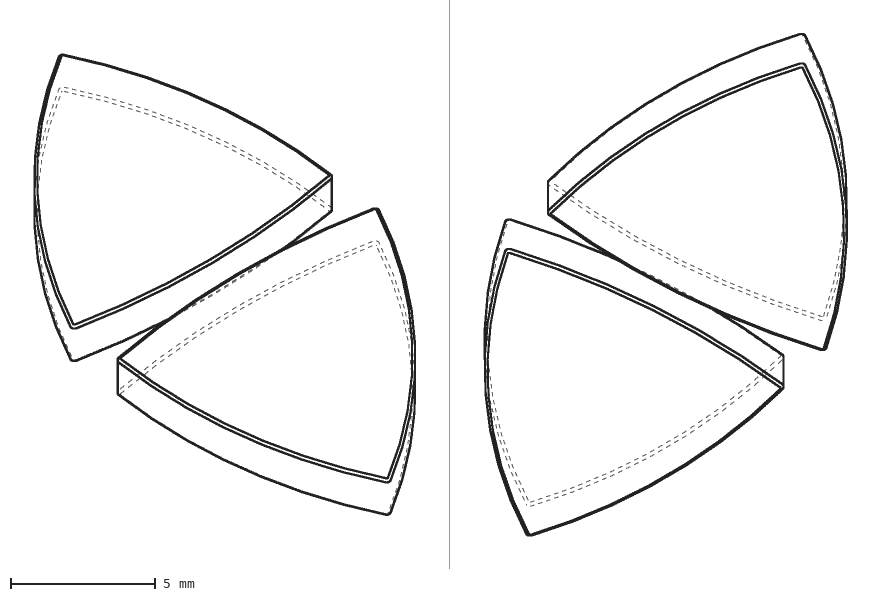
import cadquery as cq

thickness = 2.05
corner_radius = 0.15
edge_chamfer = 0.1

outer_tip = (-10.89, -0.05)
upper_corner = (-1.45, 5.27)
lower_corner = (-0.45, -5.88)

upper_side_radius = 20.6
lower_side_radius = 16.9
inner_side_radius = 30.0

tile_count = 2
turn_step = 360 / tile_count


def curved_tile(turn):
    """Three-sided plate with bowed sides, rounded corners and chamfered rims."""
    outline = (
        cq.Workplane("XY")
        .moveTo(*outer_tip)
        .radiusArc(upper_corner, upper_side_radius)
        .radiusArc(lower_corner, inner_side_radius)
        .radiusArc(outer_tip, lower_side_radius)
        .close()
    )
    plate = outline.extrude(thickness)
    plate = plate.edges("|Z").fillet(corner_radius)
    plate = plate.faces("<Z or >Z").chamfer(edge_chamfer)
    return plate.rotate((0, 0, 0), (0, 0, 1), turn)


tiles = [curved_tile(index * turn_step) for index in range(tile_count)]

result = cq.Compound.makeCompound([tile.val() for tile in tiles])